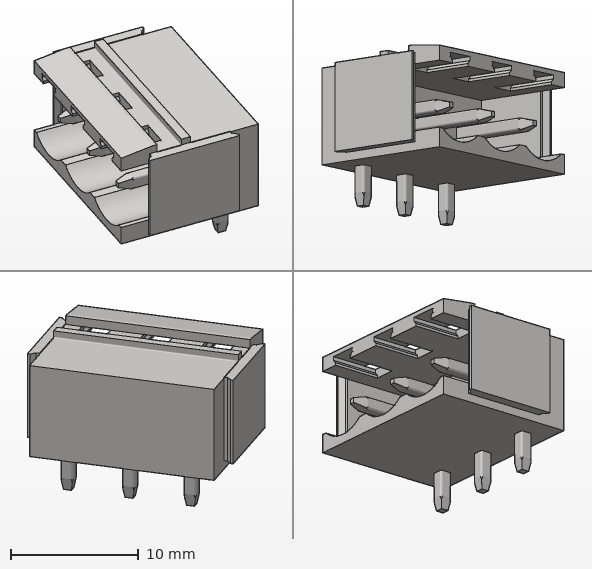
import cadquery as cq


PIN_COUNT = 3
PITCH = 5.08
PIN_X = [(i - (PIN_COUNT - 1) / 2) * PITCH for i in range(PIN_COUNT)]

LENGTH = 17.0
BODY_LENGTH = PIN_COUNT * PITCH
DEPTH = 12.0
TOP_Z = 7.72

CAVITY_DEPTH = 8.5
FLOOR_Z = 1.56
CEILING_Z = 6.9

SCALLOP_WIDTH = 4.28
SCALLOP_DEPTH = 0.82

LIP_DEPTH = 3.15
LIP_FLAT = 0.35
LIP_TOP_Z = 8.45
LIP_FRONT_Z = 8.11

RIB_FRONT_Y = 5.27
RIB_WIDTH = 0.78
RIB_TOP_Z = 8.31
RIB_FOOT_RADIUS = 0.1

KEYWAY_TOP_WIDTH = 2.35
KEYWAY_BOTTOM_WIDTH = 1.85
KEYWAY_DEPTH = 4.18
KEYWAY_NECK_Z = 7.12
KEYWAY_SHOULDER_Z = 7.4

FLANGE_INSET = 2.07
FLANGE_BOTTOM_Z = 0.7
FLANGE_TOP_Z = 7.79
FLANGE_EDGE = 0.2
FLANGE_SLOPE_WIDTH = 0.39
FLANGE_SLOPE_INSET = 0.4
FLANGE_OUTER_X = LENGTH / 2
FLANGE_SLOPE_X = FLANGE_OUTER_X - FLANGE_EDGE
FLANGE_NECK_X = FLANGE_SLOPE_X - FLANGE_SLOPE_WIDTH

PIN_SIZE = 1.02
PIN_EDGE_RADIUS = 0.19
CONTACT_Z = 3.82
CONTACT_TIP_Y = 0.92
CONTACT_TIP_SIZE = 0.4
CONTACT_TAPER = 1.22
TAIL_Y = 9.93
TAIL_TIP_Z = -3.18
TAIL_TIP_SIZE = 0.65
TAIL_TAPER = 1.02


def extrude_along_row(points):
    """Extrude a (Y, Z) outline over the full length of the housing body."""
    outline = cq.Workplane("YZ").polyline(points).close()
    return outline.extrude(BODY_LENGTH / 2, both=True)


def extrude_back(outline, depth):
    """Extrude an outline on the XZ plane from the front face towards +Y."""
    return outline.extrude(-depth)


def make_shell():
    """C-shaped section: floor, back wall, top plate and sloped front lip."""
    return extrude_along_row([
        (0, 0),
        (DEPTH, 0),
        (DEPTH, TOP_Z),
        (LIP_DEPTH, TOP_Z),
        (LIP_DEPTH, LIP_TOP_Z),
        (LIP_DEPTH - LIP_FLAT, LIP_TOP_Z),
        (0, LIP_FRONT_Z),
        (0, CEILING_Z),
        (CAVITY_DEPTH, CEILING_Z),
        (CAVITY_DEPTH, FLOOR_Z),
        (0, FLOOR_Z),
    ])


def make_rib():
    """Straight rib with concave fillets where it meets the top plate."""
    front = RIB_FRONT_Y
    back = front + RIB_WIDTH
    foot = RIB_FOOT_RADIUS
    outline = (
        cq.Workplane("YZ")
        .moveTo(front - foot, TOP_Z)
        .radiusArc((front, TOP_Z + foot), -foot)
        .lineTo(front, RIB_TOP_Z)
        .lineTo(back, RIB_TOP_Z)
        .lineTo(back, TOP_Z + foot)
        .radiusArc((back + foot, TOP_Z), -foot)
        .close()
    )
    return outline.extrude(BODY_LENGTH / 2, both=True)


def make_scallop(x):
    """Round-bottomed trough along the cavity floor below one pin."""
    half = SCALLOP_WIDTH / 2
    outline = (
        cq.Workplane("XZ")
        .moveTo(x - half, FLOOR_Z)
        .threePointArc((x, FLOOR_Z - SCALLOP_DEPTH), (x + half, FLOOR_Z))
        .close()
    )
    return extrude_back(outline, CAVITY_DEPTH)


def make_keyway(x):
    """Dovetail slot, breaking out through the top plate behind the lip."""
    wide = KEYWAY_TOP_WIDTH / 2
    narrow = KEYWAY_BOTTOM_WIDTH / 2
    outline = cq.Workplane("XZ").polyline([
        (x - wide, TOP_Z),
        (x - wide, KEYWAY_SHOULDER_Z),
        (x - narrow, KEYWAY_NECK_Z),
        (x - narrow, CEILING_Z),
        (x + narrow, CEILING_Z),
        (x + narrow, KEYWAY_NECK_Z),
        (x + wide, KEYWAY_SHOULDER_Z),
        (x + wide, TOP_Z),
    ]).close()
    return extrude_back(outline, KEYWAY_DEPTH)


def make_flange(side):
    """Dovetail end plate; side is -1 for the -X end and +1 for the +X end."""
    front = FLANGE_INSET
    back = DEPTH - FLANGE_INSET
    neck_front = front + FLANGE_SLOPE_INSET
    neck_back = back - FLANGE_SLOPE_INSET
    outline = cq.Workplane("XY", origin=(0, 0, FLANGE_BOTTOM_Z)).polyline([
        (side * BODY_LENGTH / 2, neck_front),
        (side * FLANGE_NECK_X, neck_front),
        (side * FLANGE_SLOPE_X, front),
        (side * FLANGE_OUTER_X, front),
        (side * FLANGE_OUTER_X, back),
        (side * FLANGE_SLOPE_X, back),
        (side * FLANGE_NECK_X, neck_back),
        (side * BODY_LENGTH / 2, neck_back),
    ]).close()
    return outline.extrude(FLANGE_TOP_Z - FLANGE_BOTTOM_Z)


def make_leg(length, tip_size, taper):
    """Square bar along +Z from its tip at the origin, with rounded edges and a pyramid point."""
    bar = cq.Workplane("XY").rect(PIN_SIZE, PIN_SIZE).extrude(length)
    bar = bar.edges("|Z").fillet(PIN_EDGE_RADIUS)
    point = (
        cq.Workplane("XY")
        .rect(tip_size, tip_size)
        .workplane(offset=taper)
        .rect(PIN_SIZE, PIN_SIZE)
        .loft(ruled=True)
    )
    sleeve = cq.Workplane("XY", origin=(0, 0, taper)).rect(PIN_SIZE, PIN_SIZE).extrude(length - taper)
    return bar.intersect(point.union(sleeve))


def make_pin(x):
    """L-shaped pin: a contact along Y in the cavity and a tail down through the floor."""
    half = PIN_SIZE / 2
    contact = (
        make_leg(TAIL_Y + half - CONTACT_TIP_Y, CONTACT_TIP_SIZE, CONTACT_TAPER)
        .rotate((0, 0, 0), (1, 0, 0), -90)
        .translate((x, CONTACT_TIP_Y, CONTACT_Z))
    )
    tail = (
        make_leg(CONTACT_Z + half - TAIL_TIP_Z, TAIL_TIP_SIZE, TAIL_TAPER)
        .translate((x, TAIL_Y, TAIL_TIP_Z))
    )
    return contact.union(tail)


def make_housing(pins):
    """Complete housing, with a matching hole for every pin."""
    body = make_shell().union(make_rib())
    for side in (-1, 1):
        body = body.union(make_flange(side))
    for x in PIN_X:
        body = body.cut(make_scallop(x))
        body = body.cut(make_keyway(x))
    for pin in pins:
        body = body.cut(pin)
    return body


pins = [make_pin(x) for x in PIN_X]
housing = make_housing(pins)

result = cq.Compound.makeCompound([*housing.solids().vals(), *[pin.solids().val() for pin in pins]])